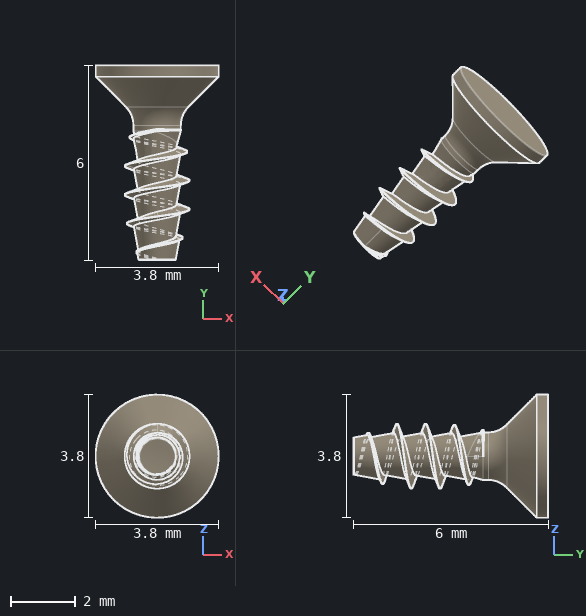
import cadquery as cq
import math

length = 6.0

head_radius = 1.9
rim_height = 0.35
rim_round = 0.02
neck_radius = 0.735
neck_fillet = 0.8
neck_end_y = -2.02
neck_taper = 0.28

inner_radius = 0.55
groove_slope = math.tan(math.radians(10.5))
floor_radius = 0.736
tip_radius = 0.575
tip_round = 0.03
tip_dish_depth = 0.025
tip_overrun = 0.3

pitch = 0.887
first_crest_y = -2.883
major_radius = 1.0
crest_width = 0.02
flank_slope = 0.34
band_base_radius = 0.35
start_turn = -1.0
start_crest_radius = 0.815
full_height_turn = 0.2
taper_turn = 2.0
end_turn = 3.7
taper_per_turn = 0.282
run_out_turns = 0.25
floor_run_in_turns = 0.3
floor_head_gap = 0.01
floor_tail_gap = 0.05
points_per_turn = 16
min_rail_steps = 4


def crest_y(turn):
    return first_crest_y - pitch * turn


def crest_radius(turn):
    if turn < full_height_turn:
        rise = (turn - start_turn) / (full_height_turn - start_turn)
        return start_crest_radius + rise * (major_radius - start_crest_radius)
    return major_radius - taper_per_turn * max(0.0, turn - taper_turn)


def tooth_section(turn, centre_y, top_radius):
    """Corners (radius, y) of the trapezoidal thread ridge."""
    top_half = crest_width / 2
    base_half = top_half + flank_slope * (top_radius - band_base_radius)
    return [
        (band_base_radius, centre_y + base_half),
        (top_radius, centre_y + top_half),
        (top_radius, centre_y - top_half),
        (band_base_radius, centre_y - base_half),
    ]


def thread_section(turn):
    return tooth_section(turn, crest_y(turn), crest_radius(turn))


def run_out_section(turn):
    """The ridge sinks into the neck without advancing along the axis."""
    fade = (start_turn - turn) / run_out_turns
    radius = start_crest_radius + fade * (neck_radius - start_crest_radius)
    return tooth_section(turn, crest_y(start_turn), radius)


def floor_section(turn):
    """Corners (radius, y) of the tapered core between one crest and the next."""
    tip_cone_radius = tip_radius + groove_slope * (crest_y(turn) + length)
    head_side_radius = min(floor_radius, tip_cone_radius)
    head_y = crest_y(turn) - floor_head_gap
    tail_y = crest_y(turn + 1) + floor_tail_gap
    return [
        (band_base_radius, head_y),
        (head_side_radius - groove_slope * floor_head_gap, head_y),
        (head_side_radius - groove_slope * (crest_y(turn) - tail_y), tail_y),
        (band_base_radius, tail_y),
    ]


def place(turn, corner):
    radius, y = corner
    angle = 2 * math.pi * turn
    return cq.Vector(-radius * math.sin(angle), y, radius * math.cos(angle))


def helical_band(section, break_turns):
    """Solid swept by a four-cornered section that changes with the turn."""
    faces = []
    for start, stop in zip(break_turns, break_turns[1:]):
        steps = max(min_rail_steps, math.ceil((stop - start) * points_per_turn))
        turns = [start + (stop - start) * i / steps for i in range(steps + 1)]
        corner_count = len(section(start))
        rails = [
            cq.Edge.makeSpline([place(turn, section(turn)[corner]) for turn in turns])
            for corner in range(corner_count)
        ]
        for corner in range(corner_count):
            next_rail = rails[(corner + 1) % corner_count]
            faces.append(cq.Face.makeRuledSurface(rails[corner], next_rail))
    for turn in (break_turns[0], break_turns[-1]):
        outline = [place(turn, corner) for corner in section(turn)]
        faces.append(cq.Face.makeFromWires(cq.Wire.makePolygon(outline, close=True)))
    band = cq.Solid.makeSolid(cq.Shell.makeShell(faces))
    return cq.Workplane(band.fix())


def make_head():
    """Revolved head, filleted neck and short neck taper."""
    diagonal = neck_fillet * math.sqrt(0.5)
    fillet_top_radius = neck_radius + neck_fillet - diagonal
    fillet_top_y = -rim_height - (head_radius - fillet_top_radius)
    fillet_end_y = fillet_top_y - diagonal
    neck_taper_end_y = neck_end_y - (neck_radius - inner_radius) / neck_taper
    mid_angle = math.radians(45 / 2)
    fillet_mid = (
        neck_radius + neck_fillet * (1 - math.cos(mid_angle)),
        fillet_end_y + neck_fillet * math.sin(mid_angle),
    )
    half_section = (
        cq.Workplane("XY")
        .lineTo(head_radius, 0)
        .lineTo(head_radius, -rim_height)
        .lineTo(fillet_top_radius, fillet_top_y)
        .threePointArc(fillet_mid, (neck_radius, fillet_end_y))
        .lineTo(neck_radius, neck_end_y)
        .lineTo(inner_radius, neck_taper_end_y)
        .lineTo(0, neck_taper_end_y)
        .close()
    )
    body = half_section.revolve(360, (0, 0, 0), (0, 1, 0))
    return body.faces(">Y").edges().fillet(rim_round)


def make_thread():
    """Ridge rising to full height, then tapering into the tip."""
    ridge_turns = [start_turn, full_height_turn, taper_turn, end_turn]
    return helical_band(thread_section, ridge_turns)


def make_run_out():
    """Short fade of the ridge at the neck."""
    return helical_band(run_out_section, [start_turn - run_out_turns, start_turn])


def make_groove_floor():
    """Core between the threads; from tip_cone_turn on it follows the plain tip cone."""
    tip_cone_turn = (first_crest_y + length - (floor_radius - tip_radius) / groove_slope) / pitch
    floor_turns = [start_turn - floor_run_in_turns, tip_cone_turn, end_turn]
    return helical_band(floor_section, floor_turns)


def make_tip_cutter():
    """Everything beyond the tip plane, the rounded tip edge and the shallow tip dish."""
    reach = 2 * pitch
    arc_mid_offset = tip_round * (1 - math.sqrt(0.5))
    dish_radius = tip_radius - tip_round
    dish_mid = (dish_radius / 2, -length + tip_dish_depth * 0.75)
    return (
        cq.Workplane("XY")
        .moveTo(0, -length + tip_dish_depth)
        .threePointArc(dish_mid, (dish_radius, -length))
        .threePointArc(
            (tip_radius - arc_mid_offset, -length + arc_mid_offset),
            (tip_radius, -length + tip_round),
        )
        .lineTo(head_radius, -length + tip_round)
        .lineTo(head_radius, -length - reach)
        .lineTo(0, -length - reach)
        .close()
        .revolve(360, (0, 0, 0), (0, 1, 0))
    )


def make_inner_core():
    """Plain bar from inside the neck to beyond the tip plane, where it is trimmed."""
    core_length = length + neck_end_y + tip_overrun
    return cq.Workplane("XZ").workplane(offset=-neck_end_y).circle(inner_radius).extrude(core_length)


result = (
    make_groove_floor()
    .union(make_inner_core(), clean=False)
    .union(make_thread(), clean=False)
    .union(make_head(), clean=False)
    .union(make_run_out(), clean=False)
    .cut(make_tip_cutter(), clean=False)
)